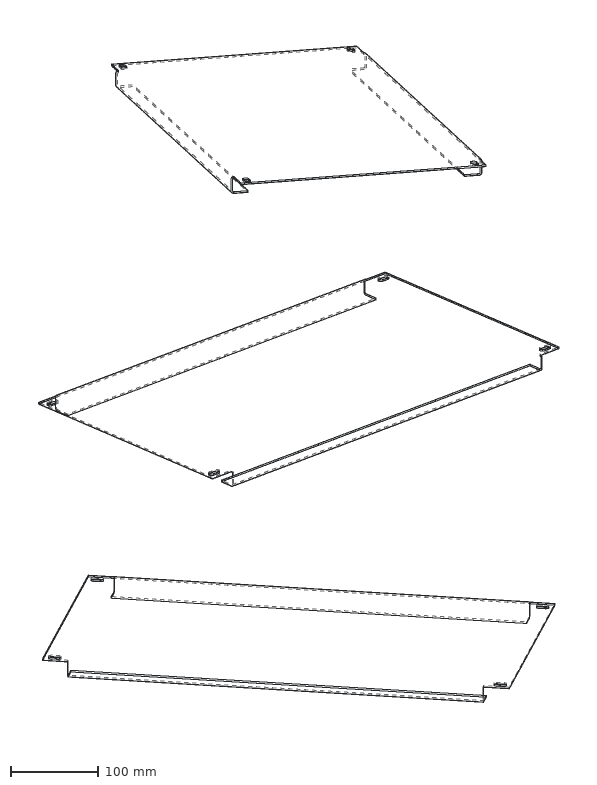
import cadquery as cq

length = 545.0
width = 300.0
height = 20.0

thickness = 2.0
inner_radius = 1.5
outer_radius = inner_radius + thickness

ear_length = 30.0
lip_width = 20.5
channel_length = length - 2 * ear_length

slot_length = 14.5
slot_width = 7.0
slot_end_inset = 12.5
slot_side_inset = 10.5

plate_width = width - 2 * outer_radius


def make_plate():
    """Flat panel with its top face at the full height."""
    return (
        cq.Workplane("XY")
        .box(length, plate_width, thickness, centered=(True, True, False))
        .translate((0, 0, height - thickness))
    )


def make_channel():
    """C-shaped profile: top web, two side walls and two inward lips."""
    block = cq.Workplane("XY").box(channel_length, width, height, centered=(True, True, False))
    block = block.edges("|X").fillet(outer_radius)
    hollow = (
        cq.Workplane("XY")
        .box(channel_length, width - 2 * thickness, height - 2 * thickness, centered=(True, True, False))
        .edges("|X")
        .fillet(inner_radius)
        .translate((0, 0, thickness))
    )
    opening = cq.Workplane("XY").box(
        channel_length, width - 2 * lip_width, height / 2, centered=(True, True, False)
    )
    return block.cut(hollow).cut(opening)


def make_slots():
    """Cutters for the four mounting slots."""
    return (
        cq.Workplane("XY")
        .rect(length - 2 * slot_end_inset, plate_width - 2 * slot_side_inset, forConstruction=True)
        .vertices()
        .slot2D(slot_length, slot_width)
        .extrude(height)
    )


result = make_plate().union(make_channel()).cut(make_slots())